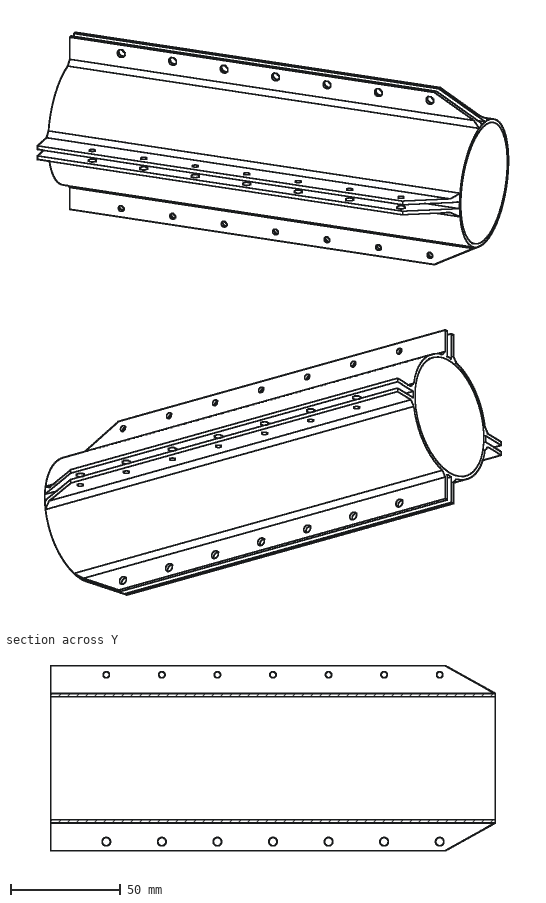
import cadquery as cq
import math

TUBE_LENGTH = 203.2
TUBE_OUTER_RADIUS = 29.68
WALL_THICKNESS = 1.5875
TUBE_INNER_RADIUS = TUBE_OUTER_RADIUS - WALL_THICKNESS

PAIR_COUNT = 4
PAIR_ANGLE = 360 / PAIR_COUNT
FLANGE_HEIGHT = 12.7
FLANGE_TIP_RADIUS = TUBE_OUTER_RADIUS + FLANGE_HEIGHT
FLANGE_GAP = 3.175
FLANGE_THICKNESS = 1.778
PAIR_HALF_WIDTH = FLANGE_GAP / 2 + FLANGE_THICKNESS

GUSSET_LEG = 2.45
GUSSET_TUBE_Y = PAIR_HALF_WIDTH + GUSSET_LEG
GUSSET_TUBE_Z = math.sqrt(TUBE_OUTER_RADIUS**2 - GUSSET_TUBE_Y**2)
GUSSET_FLANGE_Z = GUSSET_TUBE_Z + GUSSET_LEG

TAPER_LENGTH = 22.86

HOLE_COUNT = 7
HOLE_PITCH = 25.4
HOLE_EDGE_DISTANCE = FLANGE_HEIGHT / 3
HOLE_AXIS_RADIUS = FLANGE_TIP_RADIUS - HOLE_EDGE_DISTANCE
CLEARANCE_HOLE_DIAMETER = 3.7
SMALL_HOLE_DIAMETER = 2.7


def pair_block():
    """Solid block under and through the top flange pair, widened by the gussets."""
    return (
        cq.Workplane("YZ")
        .moveTo(0, 0)
        .lineTo(GUSSET_TUBE_Y, GUSSET_TUBE_Z)
        .lineTo(PAIR_HALF_WIDTH, GUSSET_FLANGE_Z)
        .lineTo(PAIR_HALF_WIDTH, FLANGE_TIP_RADIUS)
        .lineTo(-PAIR_HALF_WIDTH, FLANGE_TIP_RADIUS)
        .lineTo(-PAIR_HALF_WIDTH, GUSSET_FLANGE_Z)
        .lineTo(-GUSSET_TUBE_Y, GUSSET_TUBE_Z)
        .close()
        .extrude(TUBE_LENGTH)
    )


def gap_cutter():
    """Slot between the two flanges, deep enough to leave the tube surface as its floor."""
    return (
        cq.Workplane("XY", origin=(0, 0, TUBE_INNER_RADIUS))
        .rect(2 * TUBE_LENGTH, FLANGE_GAP)
        .extrude(FLANGE_TIP_RADIUS - TUBE_INNER_RADIUS)
    )


def taper_cutter():
    """Ring with a conical inside that tapers the far end of the flanges down to the tube."""
    taper_start = TUBE_LENGTH - TAPER_LENGTH
    ring_outer_radius = 2 * FLANGE_TIP_RADIUS
    return (
        cq.Workplane("XZ")
        .moveTo(taper_start, FLANGE_TIP_RADIUS)
        .lineTo(taper_start, ring_outer_radius)
        .lineTo(TUBE_LENGTH, ring_outer_radius)
        .lineTo(TUBE_LENGTH, TUBE_OUTER_RADIUS)
        .close()
        .revolve(360, (0, 0, 0), (1, 0, 0))
    )


def hole_row(diameter, side):
    """Row of holes through the flange on the -Y side (-1) or the +Y side (+1)."""
    centers = [((i + 1) * HOLE_PITCH, HOLE_AXIS_RADIUS) for i in range(HOLE_COUNT)]
    return (
        cq.Workplane("XZ")
        .pushPoints(centers)
        .circle(diameter / 2)
        .extrude(-side * PAIR_HALF_WIDTH)
    )


def flange_pair():
    """The top pair of flanges, finished before it joins the tube."""
    return (
        pair_block()
        .cut(gap_cutter())
        .cut(taper_cutter())
        .cut(hole_row(CLEARANCE_HOLE_DIAMETER, -1))
        .cut(hole_row(SMALL_HOLE_DIAMETER, 1))
    )


def build_part():
    """Tube with the flange pairs joined around it, bored through last."""
    body = cq.Workplane("YZ").circle(TUBE_OUTER_RADIUS).extrude(TUBE_LENGTH)
    pair = flange_pair()
    for i in range(PAIR_COUNT):
        body = body.union(pair.rotate((0, 0, 0), (1, 0, 0), i * PAIR_ANGLE))
    bore = cq.Workplane("YZ").circle(TUBE_INNER_RADIUS).extrude(TUBE_LENGTH)
    return body.cut(bore)


result = build_part()